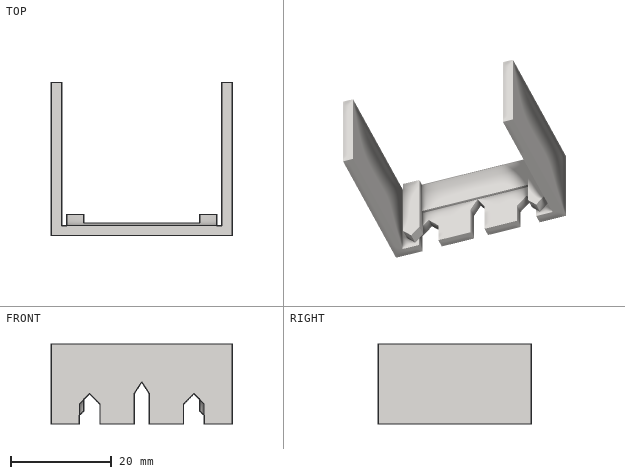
import cadquery as cq

width = 36.0
depth = 30.5
height = 16.0
front_wall = 1.98
side_wall = 2.12

center_slot_width = 2.95
center_slot_shoulder = 6.1
center_slot_tip = 8.35
side_slot_width = 4.1
side_slot_shoulder = 3.95
side_slot_tip = 6.05
side_slot_offset = 10.35

post_inner_x = 11.52
post_width = 3.42
post_depth = 2.25
post_shoulder = 2.63
post_tip = post_shoulder - post_width / 2
clip_top = 15.23
plate_thickness = 0.58
plate_bottom = center_slot_tip


def box(x_size, y_size, z_size, x_center, y_start, z_start):
    """Box centered on x_center, starting at the given y and z."""
    block = cq.Workplane("XY").box(x_size, y_size, z_size, centered=(True, False, False))
    return block.translate((x_center, y_start, z_start))


def pointed_prism(x_center, prism_width, base_z, shoulder_z, tip_z, y_start, length):
    """Five-sided prism along Y, flat at base_z and pointed at tip_z."""
    left = x_center - prism_width / 2
    right = x_center + prism_width / 2
    outline = [(left, base_z), (left, shoulder_z), (x_center, tip_z), (right, shoulder_z), (right, base_z)]
    return cq.Workplane("XZ", origin=(0, y_start, 0)).polyline(outline).close().extrude(-length)


cavity = box(width - 2 * side_wall, depth - front_wall, height, 0, front_wall, 0)
result = box(width, depth, height, 0, 0, 0).cut(cavity)

center_slot = pointed_prism(0, center_slot_width, 0, center_slot_shoulder, center_slot_tip, 0, front_wall)
result = result.cut(center_slot)
for side in (-1, 1):
    side_slot = pointed_prism(
        side * side_slot_offset, side_slot_width, 0, side_slot_shoulder, side_slot_tip, 0, front_wall
    )
    result = result.cut(side_slot)

plate = box(2 * post_inner_x, plate_thickness, clip_top - plate_bottom, 0, front_wall, plate_bottom)
result = result.union(plate)
for side in (-1, 1):
    post_x = side * (post_inner_x + post_width / 2)
    post = pointed_prism(post_x, post_width, clip_top, post_shoulder, post_tip, front_wall, post_depth)
    result = result.union(post)